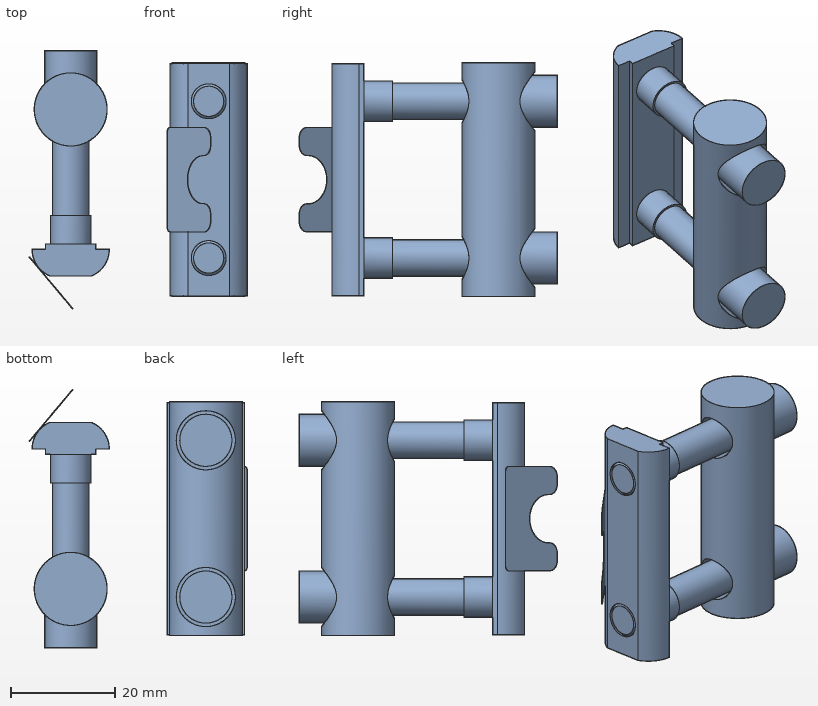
import cadquery as cq
import math


barrel_diameter = 14.0
barrel_height = 44.75
pin_hole_diameter = 8.2
head_bore_diameter = 11.3

pin_spacing = 30.0
pin_heights = [-pin_spacing / 2, pin_spacing / 2]
head_diameter = 10.0
head_end_y = 11.25
head_seat_y = 0
shaft_diameter = 7.0
collar_diameter = 7.8
collar_start_y = -20.25
spigot_diameter = 6.65
spigot_chamfer = 0.45

bar_height = 44.4
bar_back_y = -25.75
bar_step = 1.0
bar_depth = 6.15
bar_width = 14.8
bar_back_width = 9.7
bar_front_width = 8.0
bar_ledge_y = bar_back_y - bar_step
bar_front_y = bar_back_y - bar_depth

flank_inset = (bar_width - bar_front_width) / 2
flank_depth = bar_depth - bar_step
flank_radius = (flank_inset**2 + flank_depth**2) / (2 * flank_inset)
flank_center_x = bar_width / 2 - flank_radius

plate_angle = 50.0
plate_thickness = 0.1
plate_length = 12.9
plate_height = 20.0
plate_overhang = 2.75
plate_corner_radius = 0.9
lug_corner_radius = 2.0
notch_diameter = 9.2
notch_depth = 6.85


def cylinder_along_y(diameter, start_y, end_y, height):
    """Cylinder from start_y toward -Y, ending at end_y, with its axis at the given Z."""
    return cq.Workplane("XZ", origin=(0, start_y, height)).circle(diameter / 2).extrude(start_y - end_y)


def make_barrel():
    radius = barrel_diameter / 2
    barrel = cq.Workplane("XY").circle(radius).extrude(barrel_height / 2, both=True)
    for height in pin_heights:
        barrel = barrel.cut(cylinder_along_y(pin_hole_diameter, radius, -radius, height))
        barrel = barrel.cut(cylinder_along_y(head_bore_diameter, radius, head_seat_y, height))
    return barrel


def make_pin(height):
    head = cylinder_along_y(head_diameter, head_end_y, head_seat_y, height)
    shaft = cylinder_along_y(shaft_diameter, head_seat_y, collar_start_y, height)
    collar = cylinder_along_y(collar_diameter, collar_start_y, bar_back_y, height)
    spigot = cylinder_along_y(spigot_diameter, bar_back_y, bar_front_y, height)
    spigot = spigot.faces("<Y").edges().chamfer(spigot_chamfer)
    return head.union(shaft).union(collar).union(spigot)


def make_bar():
    half_turn = math.asin(flank_depth / flank_radius) / 2
    flank_mid_x = flank_center_x + flank_radius * math.cos(half_turn)
    flank_mid_y = bar_ledge_y - flank_radius * math.sin(half_turn)
    bar = (
        cq.Workplane("XY")
        .moveTo(-bar_back_width / 2, bar_back_y)
        .lineTo(bar_back_width / 2, bar_back_y)
        .lineTo(bar_back_width / 2, bar_ledge_y)
        .lineTo(bar_width / 2, bar_ledge_y)
        .threePointArc((flank_mid_x, flank_mid_y), (bar_front_width / 2, bar_front_y))
        .lineTo(-bar_front_width / 2, bar_front_y)
        .threePointArc((-flank_mid_x, flank_mid_y), (-bar_width / 2, bar_ledge_y))
        .lineTo(-bar_back_width / 2, bar_ledge_y)
        .close()
        .extrude(bar_height / 2, both=True)
    )
    for height in pin_heights:
        bar = bar.cut(cylinder_along_y(spigot_diameter, bar_back_y, bar_front_y, height))
    return bar


def make_plate():
    slope = math.radians(plate_angle)
    outward = (-math.sin(slope), -math.cos(slope), 0)
    along = (math.cos(slope), -math.sin(slope), 0)
    tangent_point = (
        -flank_center_x + flank_radius * outward[0],
        bar_ledge_y + flank_radius * outward[1],
        0,
    )
    plane = cq.Plane(origin=tangent_point, xDir=along, normal=outward)
    lug_end = plate_length - plate_overhang
    notch_radius = notch_diameter / 2
    notch_bottom = lug_end - notch_depth
    notch_center = notch_bottom + notch_radius
    half_height = plate_height / 2
    plate = (
        cq.Workplane(plane)
        .moveTo(-plate_overhang, -half_height)
        .lineTo(lug_end, -half_height)
        .lineTo(lug_end, -notch_radius)
        .lineTo(notch_center, -notch_radius)
        .threePointArc((notch_bottom, 0), (notch_center, notch_radius))
        .lineTo(lug_end, notch_radius)
        .lineTo(lug_end, half_height)
        .lineTo(-plate_overhang, half_height)
        .close()
        .extrude(plate_thickness)
    )
    corner_edges = cq.selectors.ParallelDirSelector(cq.Vector(*outward))
    plate = plate.faces("<X").edges(corner_edges).fillet(plate_corner_radius)
    return plate.faces(">X").edges(corner_edges).fillet(lug_corner_radius)


barrel = make_barrel()
pins = [make_pin(height) for height in pin_heights]
bar = make_bar()
plate = make_plate()

bodies = [barrel, *pins, bar, plate]
result = cq.Compound.makeCompound([body.solids().val() for body in bodies])